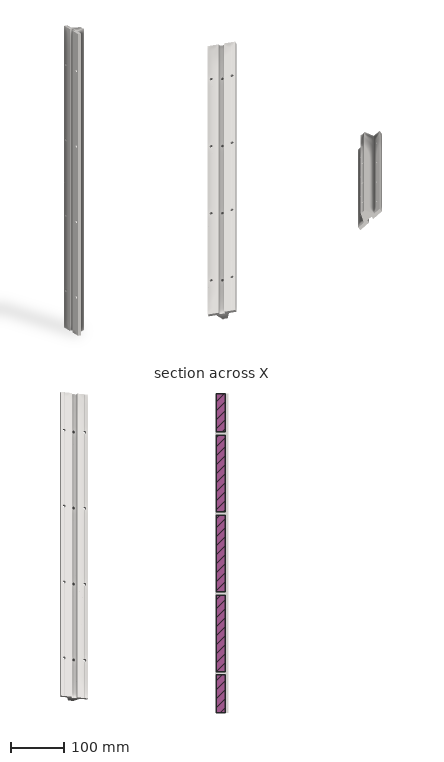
import cadquery as cq
import math

length = 599.5
base_width = 54
height = 24.5

base_thickness = 6.5

web_root_width = 25.0
web_top_width = 9.0
shaft_radius = 8.0

channel_width = 11.0
channel_depth = 5.5

mark_width = 0.5
mark_depth = mark_width / 2

hole_diameter = 5.5
hole_pitch = 150
holes_per_row = 4
row_spacing = 20.5
row_count = 3


def rail_blank():
    """Flat base with a tapered web and a concave shaft seat, extruded along Z."""
    half_base = base_width / 2
    half_root = web_root_width / 2
    half_top = web_top_width / 2
    seat_sag = shaft_radius - math.sqrt(shaft_radius**2 - half_top**2)
    return (
        cq.Workplane("XY")
        .moveTo(-half_base, 0)
        .lineTo(half_base, 0)
        .lineTo(half_base, base_thickness)
        .lineTo(half_root, base_thickness)
        .lineTo(half_top, height)
        .threePointArc((0, height - seat_sag), (-half_top, height))
        .lineTo(-half_root, base_thickness)
        .lineTo(-half_base, base_thickness)
        .close()
        .extrude(length)
    )


def channel():
    """Rectangular channel along the middle of the underside."""
    return (
        cq.Workplane("XY")
        .rect(channel_width, 2 * channel_depth)
        .extrude(length)
    )


def mark_groove(x, y):
    """V groove centred on x, cut in +Y from the face at height y."""
    half_width = mark_width / 2
    return (
        cq.Workplane("XY")
        .polyline([(x - half_width, y), (x + half_width, y), (x, y + mark_depth)])
        .close()
        .extrude(length)
    )


def mounting_holes():
    """Rows of holes running right through in Y, centred along the length."""
    return (
        cq.Workplane("XZ")
        .center(0, length / 2)
        .rarray(row_spacing, hole_pitch, row_count, holes_per_row)
        .circle(hole_diameter / 2)
        .extrude(-height)
    )


rail = rail_blank().cut(channel())

rail = rail.cut(mark_groove(0, channel_depth))
for x in (-row_spacing, row_spacing):
    rail = rail.cut(mark_groove(x, 0))

result = rail.cut(mounting_holes())